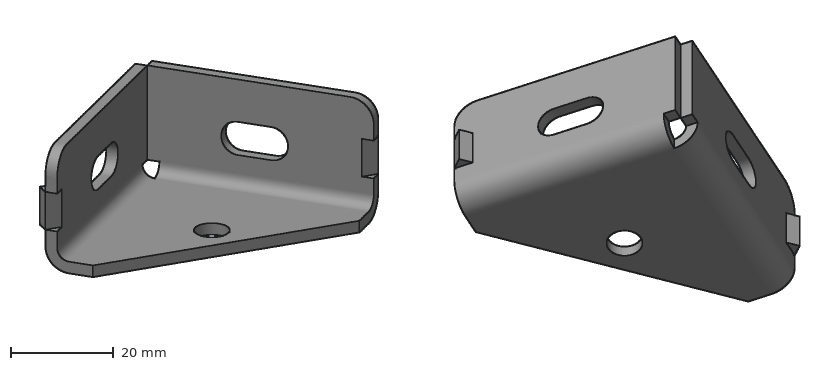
import cadquery as cq
import math

LEG = 50.0
HEIGHT = 25.0
SHEET = 2.5
INNER_BEND_RADIUS = 2.5
OUTER_BEND_RADIUS = INNER_BEND_RADIUS + SHEET
WALL_CORNER_RADIUS = 5.0
BASE_END_WIDTH = 10.0

HOLE_DIAMETER = 7.0
SLOT_LENGTH = 14.0
SLOT_WIDTH = 7.0

TAB_PROJECTION = 2.0
TAB_HEIGHT = 8.0

WALL_LENGTH = LEG - SHEET
BEND_LENGTH = LEG - OUTER_BEND_RADIUS
TAB_BOTTOM = (HEIGHT - TAB_HEIGHT) / 2


def make_base():
    """Flat base between the bend lines, with the diagonal cut and centre hole."""
    outline = [
        (OUTER_BEND_RADIUS, 0),
        (BASE_END_WIDTH, 0),
        (LEG, LEG - BASE_END_WIDTH),
        (LEG, BEND_LENGTH),
        (OUTER_BEND_RADIUS, BEND_LENGTH),
    ]
    base = cq.Workplane("XY").polyline(outline).close().extrude(SHEET)
    hole = (
        cq.Workplane("XY")
        .center(LEG / 2, LEG / 2)
        .circle(HOLE_DIAMETER / 2)
        .extrude(SHEET)
    )
    return base.cut(hole)


def make_bend():
    """Quarter-round bend joining the base to the wall on the -X side."""
    diagonal = math.sqrt(0.5)
    centre = OUTER_BEND_RADIUS
    outer_mid = centre - OUTER_BEND_RADIUS * diagonal
    inner_mid = centre - INNER_BEND_RADIUS * diagonal
    return (
        cq.Workplane("XZ")
        .moveTo(0, centre)
        .threePointArc((outer_mid, outer_mid), (centre, 0))
        .lineTo(centre, SHEET)
        .threePointArc((inner_mid, inner_mid), (SHEET, centre))
        .close()
        .extrude(-BEND_LENGTH)
    )


def make_slot():
    """Horizontal slot cutter through the wall on the -X side."""
    return (
        cq.Workplane("YZ")
        .center(LEG / 2, HEIGHT / 2)
        .slot2D(SLOT_LENGTH, SLOT_WIDTH)
        .extrude(SHEET)
    )


def tab_prism(points):
    """Prism over a plan outline, spanning the height of the tab."""
    return (
        cq.Workplane("XY", origin=(0, 0, TAB_BOTTOM))
        .polyline(points)
        .close()
        .extrude(TAB_HEIGHT)
    )


def make_wall():
    """Wall on the -X side, with its slot and a tab bent outward at 45 degrees."""
    wall = (
        cq.Workplane("XY", origin=(0, 0, OUTER_BEND_RADIUS))
        .box(SHEET, WALL_LENGTH, HEIGHT - OUTER_BEND_RADIUS, centered=False)
        .edges("|X and <Y and >Z")
        .fillet(WALL_CORNER_RADIUS)
    )
    tab_recess = tab_prism([(0, 0), (SHEET, 0), (SHEET, SHEET)])
    tab_tip = tab_prism([(0, 0), (-TAB_PROJECTION, TAB_PROJECTION), (0, 2 * TAB_PROJECTION)])
    return wall.cut(make_slot()).cut(tab_recess).union(tab_tip)


def across_diagonal(body):
    """Mirror a body across the plane x + y = LEG, onto the +Y side."""
    diagonal_normal = cq.Vector(1, 1, 0)
    return body.mirror(diagonal_normal, (LEG / 2, LEG / 2, 0))


side = make_bend().union(make_wall())
result = make_base().union(side).union(across_diagonal(side))